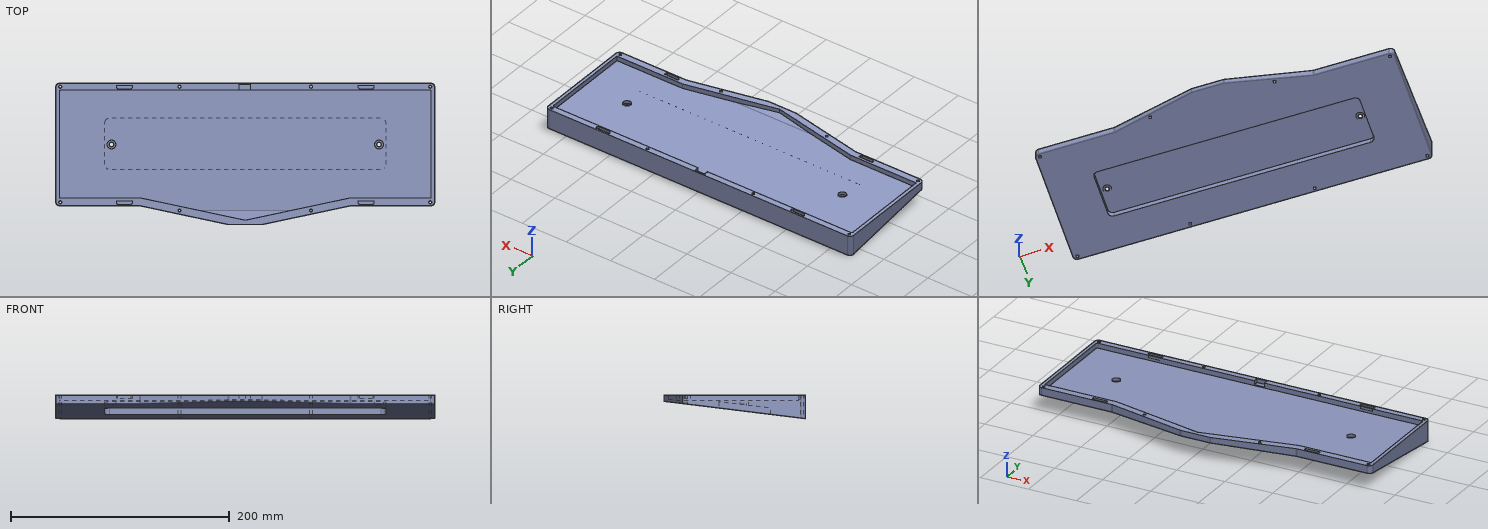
import cadquery as cq
import math

LENGTH = 346.8
DEPTH = 129.45
HEIGHT = 21.69
BOTTOM_ANGLE = 7.0
BOTTOM_SLOPE = math.tan(math.radians(BOTTOM_ANGLE))
SWEEP_ANGLE = 12.0
SWEEP_SLOPE = math.tan(math.radians(SWEEP_ANGLE))
CORNER_RADIUS = 4.0
BOTTOM_EDGE_RADIUS = 0.5
REAR_EDGE_LIFT = BOTTOM_EDGE_RADIUS * (BOTTOM_SLOPE + 1 / math.cos(math.radians(BOTTOM_ANGLE)) - 1)

HALF_LENGTH = LENGTH / 2
NOSE_HALF_WIDTH = 15.5
SIDE_DEPTH = 112.3
SWEEP_START = NOSE_HALF_WIDTH + (DEPTH - SIDE_DEPTH) / SWEEP_SLOPE

POCKET_DEPTH = 5.0
SIDE_RIM = 3.5
REAR_RIM = 6.3
FRONT_RIM = 7.2
POCKET_SWEEP_START = SWEEP_START - FRONT_RIM * math.tan(math.radians(SWEEP_ANGLE) / 2)
RAMP_START = 116.3
POCKET_CORNER_RADIUS = 1.5

SCREW_DIAMETER = 2.53
SCREW_INSET = 3.3
CORNER_SCREW_X = 169.1
MIDDLE_SCREW_X = 60.1
MIDDLE_SCREW_FRONT_Y = -116.5

CLIP_LENGTH = 14.7
CLIP_WIDTH = 3.1
CLIP_CHAMFER = 1.2
CLIP_DEPTH = 3.0
CLIP_X = 110.5
CLIP_REAR_Y = -2.1
CLIP_FRONT_Y = -107.9

NOTCH_X = -0.5
NOTCH_WIDTH = 10.5
NOTCH_DEPTH = 4.0
NOTCH_WALL = 1.3

MOUNT_X = 122.3
MOUNT_Y = -SIDE_DEPTH / 2
MOUNT_DIAMETER = 4.0
MOUNT_COUNTERBORE = 8.0
MOUNT_COUNTERBORE_DEPTH = 3.0

RECESS_LENGTH = 257.0
RECESS_REAR = 32.0
RECESS_FRONT = 79.0
RECESS_DEPTH = 6.0
RECESS_RADIUS = 4.5

POCKET_FLOOR = HEIGHT - POCKET_DEPTH


def bottom_height(y):
    """Height of the sloping underside at a given Y."""
    return -y * BOTTOM_SLOPE - REAR_EDGE_LIFT


def make_layer_under(offset):
    """Everything below a plane parallel to the underside, raised by offset."""
    front_height = bottom_height(-DEPTH) + offset
    rear_height = bottom_height(0) + offset
    base = -HEIGHT
    return (
        cq.Workplane("YZ")
        .polyline([(0, base), (-DEPTH, base), (-DEPTH, front_height), (0, rear_height)])
        .close()
        .extrude(HALF_LENGTH, both=True)
    )


def make_body():
    outline = [
        (-HALF_LENGTH, 0),
        (HALF_LENGTH, 0),
        (HALF_LENGTH, -SIDE_DEPTH),
        (SWEEP_START, -SIDE_DEPTH),
        (NOSE_HALF_WIDTH, -DEPTH),
        (-NOSE_HALF_WIDTH, -DEPTH),
        (-SWEEP_START, -SIDE_DEPTH),
        (-HALF_LENGTH, -SIDE_DEPTH),
    ]
    block = (
        cq.Workplane("XY", origin=(0, 0, -REAR_EDGE_LIFT))
        .polyline(outline)
        .close()
        .extrude(HEIGHT + REAR_EDGE_LIFT)
        .edges("|Z")
        .fillet(CORNER_RADIUS)
    )
    body = block.cut(make_layer_under(0))
    return body.faces("<Z").edges().fillet(BOTTOM_EDGE_RADIUS)


def make_pocket():
    half = HALF_LENGTH - SIDE_RIM
    front = -(SIDE_DEPTH - FRONT_RIM)
    tip = front - POCKET_SWEEP_START * SWEEP_SLOPE
    outline = [
        (-half, -REAR_RIM),
        (half, -REAR_RIM),
        (half, front),
        (POCKET_SWEEP_START, front),
        (0, tip),
        (-POCKET_SWEEP_START, front),
        (-half, front),
    ]
    pocket = (
        cq.Workplane("XY", origin=(0, 0, POCKET_FLOOR))
        .polyline(outline)
        .close()
        .extrude(POCKET_DEPTH)
        .edges("|Z and >Y")
        .fillet(POCKET_CORNER_RADIUS)
    )
    ramp_rise = (-tip - RAMP_START) * BOTTOM_SLOPE
    ramp = (
        cq.Workplane("YZ")
        .polyline([
            (-RAMP_START, POCKET_FLOOR),
            (tip, POCKET_FLOOR),
            (tip, POCKET_FLOOR + ramp_rise),
        ])
        .close()
        .extrude(HALF_LENGTH, both=True)
    )
    return pocket.cut(ramp)


def make_screw_holes():
    centres = []
    for x in (-CORNER_SCREW_X, CORNER_SCREW_X):
        centres += [(x, -SCREW_INSET), (x, -SIDE_DEPTH + SCREW_INSET)]
    for x in (-MIDDLE_SCREW_X, MIDDLE_SCREW_X):
        centres += [(x, -SCREW_INSET), (x, MIDDLE_SCREW_FRONT_Y)]
    return cq.Workplane("XY").pushPoints(centres).circle(SCREW_DIAMETER / 2).extrude(HEIGHT)


def make_clip_slot(x, y):
    return (
        cq.Workplane("XY", origin=(x, y - CLIP_WIDTH / 2, HEIGHT - CLIP_DEPTH))
        .rect(CLIP_LENGTH, CLIP_WIDTH)
        .extrude(CLIP_DEPTH)
        .edges("|Z and <Y")
        .chamfer(CLIP_CHAMFER)
    )


def make_notch():
    return (
        cq.Workplane("XY", origin=(NOTCH_X, -REAR_RIM, HEIGHT - NOTCH_DEPTH))
        .box(NOTCH_WIDTH, REAR_RIM - NOTCH_WALL, NOTCH_DEPTH, centered=(True, False, False))
    )


def make_mount_hole(x):
    """Vertical through hole, counterbored from the pocket floor."""
    hole = cq.Workplane("XY", origin=(x, MOUNT_Y, 0)).circle(MOUNT_DIAMETER / 2).extrude(HEIGHT)
    counterbore = (
        cq.Workplane("XY", origin=(x, MOUNT_Y, POCKET_FLOOR - MOUNT_COUNTERBORE_DEPTH))
        .circle(MOUNT_COUNTERBORE / 2)
        .extrude(MOUNT_COUNTERBORE_DEPTH)
    )
    return hole.union(counterbore)


def make_recess():
    width = RECESS_FRONT - RECESS_REAR
    column = (
        cq.Workplane("XY", origin=(0, -RECESS_REAR - width / 2, 0))
        .rect(RECESS_LENGTH, width)
        .extrude(HEIGHT)
        .edges("|Z")
        .fillet(RECESS_RADIUS)
    )
    return column.intersect(make_layer_under(RECESS_DEPTH))


result = make_body().cut(make_pocket()).cut(make_screw_holes()).cut(make_notch()).cut(make_recess())
for side in (-1, 1):
    result = result.cut(make_mount_hole(side * MOUNT_X))
    for slot_y in (CLIP_REAR_Y, CLIP_FRONT_Y):
        result = result.cut(make_clip_slot(side * CLIP_X, slot_y))